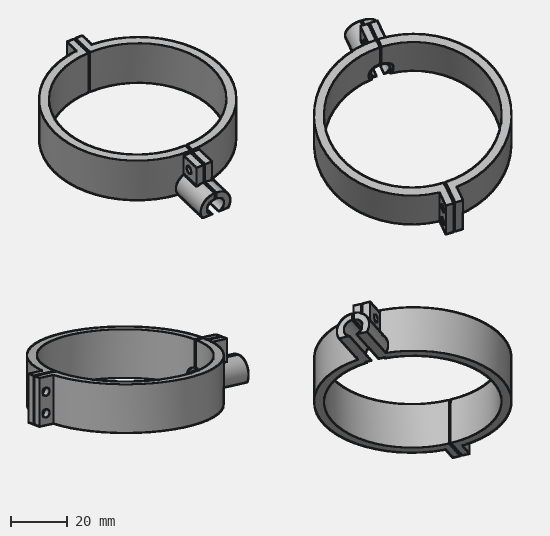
import cadquery as cq

overall_length = 90.4

ring_height = 18.0
ring_outer_radius = 34.55
ring_inner_radius = 31.0
split_gap = 0.6

lug_width = 5.9
screw_diameter = 3.0
rear_lug_end = 40.5
rear_screw_x = -37.6
rear_screw_heights = (4.4, 12.4)
front_lug_end = 42.7
front_lug_bottom = 8.4
front_lug_top = 17.0
front_screw_x = 37.8
front_screw_height = 12.75

socket_radius = 6.0
socket_bore_radius = 3.3
recess_radius = 4.4
socket_top = 9.0
socket_axis_height = socket_top - socket_radius
recess_floor_x = 31.5
socket_end = overall_length - rear_lug_end

cut_size = 180.9


def block(x_start, x_end, y_start, y_end, z_start, z_end):
    """Box between the given limits."""
    return cq.Workplane("XY").box(
        x_end - x_start, y_end - y_start, z_end - z_start, centered=False
    ).translate((x_start, y_start, z_start))


def x_cylinder(radius, x_start, x_end):
    """Cylinder on the socket axis."""
    return (
        cq.Workplane("YZ", origin=(x_start, 0, socket_axis_height))
        .circle(radius)
        .extrude(x_end - x_start)
    )


def screw_hole(x, z):
    """Cutter for a screw hole across both lug halves."""
    return (
        cq.Workplane("XZ", origin=(x, 0, z))
        .circle(screw_diameter / 2)
        .extrude(lug_width, both=True)
    )


def ring_with_lugs():
    ring = cq.Workplane("XY").circle(ring_outer_radius).extrude(ring_height)
    half_width = lug_width / 2
    rear_lug = block(-rear_lug_end, 0, -half_width, half_width, 0, ring_height)
    front_lug = block(0, front_lug_end, -half_width, half_width, front_lug_bottom, front_lug_top)
    opening = cq.Workplane("XY").circle(ring_inner_radius).extrude(ring_height)
    return ring.union(rear_lug).union(front_lug).cut(opening)


def add_socket(clamp):
    """Add the socket, its bore and the flat-bottomed recess where the bore enters the ring."""
    recess = x_cylinder(recess_radius, 0, recess_floor_x)
    socket = x_cylinder(socket_radius, recess_floor_x, socket_end)
    bore = x_cylinder(socket_bore_radius, 0, socket_end)
    clamp = clamp.cut(recess).union(socket).cut(bore)
    half = cut_size / 2
    return clamp.intersect(block(-half, half, -half, half, 0, ring_height))


def drill_lugs(clamp):
    for height in rear_screw_heights:
        clamp = clamp.cut(screw_hole(rear_screw_x, height))
    return clamp.cut(screw_hole(front_screw_x, front_screw_height))


def clamp_half(clamp, side):
    """Half of the clamp on the +Y (side = 1) or -Y (side = -1) side, moved out to open the split gap."""
    half = cut_size / 2
    y_limit = side * half
    cut_half = clamp.intersect(block(-half, half, min(0, y_limit), max(0, y_limit), 0, ring_height))
    return cut_half.translate((0, side * split_gap / 2, 0))


full_clamp = drill_lugs(add_socket(ring_with_lugs()))
left_half = clamp_half(full_clamp, 1)
right_half = clamp_half(full_clamp, -1)

result = cq.Compound.makeCompound([left_half.val(), right_half.val()])